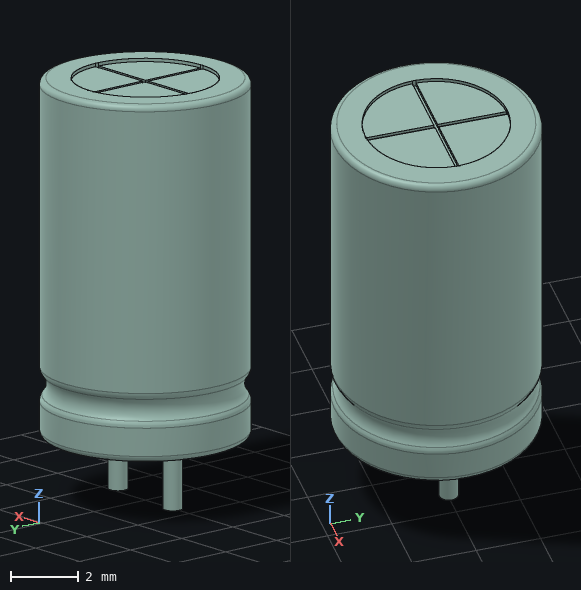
import cadquery as cq
import math

total_height = 13.0
can_radius = 6.3 / 2
can_bottom = 2.0
edge_radius = 0.2

groove_height = 3.6
groove_half_width = 0.53
groove_depth = 0.2
groove_blend_height = 0.2

vent_radius = 4.41 / 2
vent_depth = 0.1
score_width = 0.12
score_depth = 0.1

pin_radius = 0.6 / 2
pin_spacing = 2.5
short_pin_end = 0.1


def make_can():
    """Revolved can, with rounded rims and the crimp groove."""
    turn = 2 * math.atan(groove_depth / groove_half_width)
    blend_radius = groove_blend_height / math.sin(turn)
    blend_x = can_radius - blend_radius * (1 - math.cos(turn))
    mid_blend_x = can_radius - blend_radius * (1 - math.cos(turn / 2))
    mid_blend_offset = groove_half_width - blend_radius * math.sin(turn / 2)
    hollow_half_width = groove_half_width - groove_blend_height

    rim_x = can_radius - edge_radius
    mid_rim = edge_radius * (1 - math.sqrt(0.5))

    profile = (
        cq.Workplane("XZ")
        .moveTo(0, can_bottom)
        .lineTo(rim_x, can_bottom)
        .threePointArc(
            (can_radius - mid_rim, can_bottom + mid_rim),
            (can_radius, can_bottom + edge_radius),
        )
        .lineTo(can_radius, groove_height - groove_half_width)
        .threePointArc(
            (mid_blend_x, groove_height - mid_blend_offset),
            (blend_x, groove_height - hollow_half_width),
        )
        .threePointArc(
            (can_radius - groove_depth, groove_height),
            (blend_x, groove_height + hollow_half_width),
        )
        .threePointArc(
            (mid_blend_x, groove_height + mid_blend_offset),
            (can_radius, groove_height + groove_half_width),
        )
        .lineTo(can_radius, total_height - edge_radius)
        .threePointArc(
            (can_radius - mid_rim, total_height - mid_rim),
            (rim_x, total_height),
        )
        .lineTo(0, total_height)
        .close()
    )
    return profile.revolve(360, (0, 0, 0), (0, 1, 0))


def make_vent():
    """Volume removed from the top: the recess and the scored cross below it."""
    depth = vent_depth + score_depth
    recess = cq.Workplane("XY", origin=(0, 0, total_height)).circle(vent_radius).extrude(-vent_depth)
    cross = (
        cq.Workplane("XY", origin=(0, 0, total_height))
        .rect(2 * vent_radius, score_width)
        .extrude(-depth)
        .union(
            cq.Workplane("XY", origin=(0, 0, total_height))
            .rect(score_width, 2 * vent_radius)
            .extrude(-depth)
        )
    )
    return recess.union(cross)


def make_pin(x, end_height):
    """Straight pin from its free end up to the can's underside."""
    return (
        cq.Workplane("XY", origin=(x, 0, end_height))
        .circle(pin_radius)
        .extrude(can_bottom - end_height)
    )


result = (
    make_can()
    .cut(make_vent())
    .union(make_pin(-pin_spacing / 2, 0))
    .union(make_pin(pin_spacing / 2, short_pin_end))
)